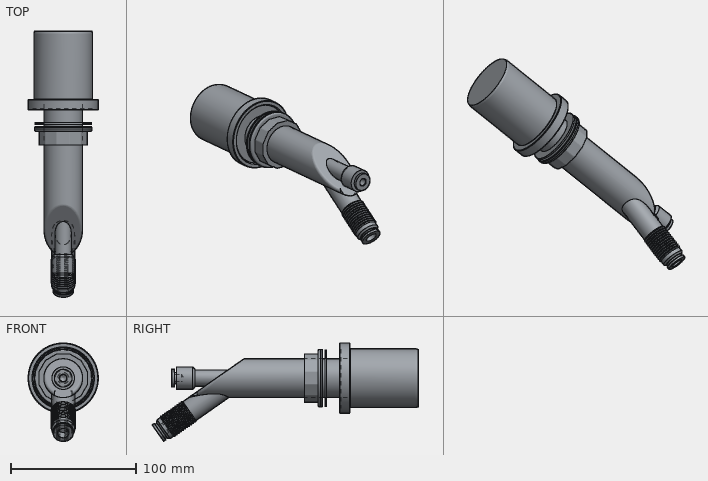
import cadquery as cq
import math


cap_diameter = 47.0
cap_rear_y = 62.92
cap_rear_chamfer_radial = 0.6
cap_rear_chamfer_axial = 2.0
flange_diameter = 56.16
flange_thickness = 8.3
edge_break = 0.5
recess_mouth_diameter = 49.8
recess_floor_diameter = 48.0
recess_depth = 1.0

washer_diameter = 45.0
washer_rear_y = -10.2
washer_thickness = 1.3
seal_diameter = 46.0
seal_rear_y = -13.4
seal_thickness = 1.95
seal_chamfer = 0.6
nut_collar_thickness = 1.95
nut_collar_round = 1.6
nut_across_flats = 38.6
nut_sides = 12
nut_length = 10.8
nut_edge_chamfer = 0.35

tube_diameter = 31.0
tube_radius = tube_diameter / 2
slant_angle = 35.0
slant_top_y = -76.15
slant_round = 2.0
tip_width = 14.0
tip_rear_y = -113.0

outlet_diameter = 13.0
outlet_collar_diameter = 18.0
outlet_collar_rear_y = -115.1
outlet_collar_chamfer = 2.0
outlet_collar_length = 15.1
outlet_neck_diameter = 9.0
outlet_neck_length = 1.5
outlet_lip_diameter = 14.2
outlet_lip_length = 2.2
outlet_bore_diameter = 5.6
outlet_bore_chamfer = 0.4
outlet_bore_depth = 8.0
outlet_bore_point_angle = 118.0

branch_diameter = 18.4
branch_radius = branch_diameter / 2
branch_setback = 0.05
branch_start = 20.0
branch_length = 90.35
branch_taper_end_diameter = 15.6
branch_taper_length = 1.6
branch_neck_diameter = 14.0
branch_neck_length = 1.8
branch_lip_diameter = 16.2
branch_lip_length = 2.1
branch_bore_diameter = 9.0
branch_bore_depth = 7.5
ridge_count = 11
ridge_pitch = 2.0
ridge_diameter = 19.8
last_ridge_to_tip = 9.7

flange_rear_y = flange_thickness
seal_front_y = seal_rear_y - seal_thickness
nut_collar_front_y = seal_front_y - nut_collar_thickness
slant = math.radians(slant_angle)
slant_run = tube_diameter / math.tan(slant)
slant_end_y = slant_top_y - slant_run
slant_direction = cq.Vector(0, -math.cos(slant), -math.sin(slant))
slant_normal = cq.Vector(0, -math.sin(slant), math.cos(slant))
slant_top = cq.Vector(0, slant_top_y, tube_radius)
branch_origin = slant_top - slant_normal * (branch_radius + branch_setback)
branch_plane = cq.Plane(
    origin=branch_origin, xDir=(1, 0, 0), normal=cq.Vector(1, 0, 0).cross(slant_direction)
)


def disc(diameter, start_y, end_y):
    """Cylinder on the Y axis between two Y positions."""
    return cq.Workplane("XZ", origin=(0, start_y, 0)).circle(diameter / 2).extrude(start_y - end_y)


def turned(plane, profile):
    """Solid of revolution about the plane's local Y axis from (radius, axial) points."""
    return cq.Workplane(plane).polyline(profile).close().revolve(360, (0, 0), (0, 1))


def make_cap():
    radius = cap_diameter / 2
    profile = [
        (0, flange_rear_y),
        (radius - edge_break, flange_rear_y),
        (radius, flange_rear_y + edge_break),
        (radius, cap_rear_y - cap_rear_chamfer_axial),
        (radius - cap_rear_chamfer_radial, cap_rear_y),
        (0, cap_rear_y),
    ]
    return turned("XY", profile)


def make_flange():
    ring = disc(flange_diameter, flange_rear_y, 0).faces("<Y or >Y").edges().chamfer(edge_break)
    recess_profile = [
        (0, 0),
        (recess_mouth_diameter / 2, 0),
        (recess_floor_diameter / 2, recess_depth),
        (0, recess_depth),
    ]
    recess = turned("XY", recess_profile)
    tube_hole = disc(tube_diameter, flange_rear_y, 0)
    return ring.cut(recess).cut(tube_hole)


def make_washer():
    washer_front_y = washer_rear_y - washer_thickness
    plate = disc(washer_diameter, washer_rear_y, washer_front_y)
    return plate.cut(disc(tube_diameter, washer_rear_y, washer_front_y))


def make_seal():
    ring = disc(seal_diameter, seal_rear_y, seal_front_y).faces(">Y").edges().chamfer(seal_chamfer)
    return ring.cut(disc(tube_diameter, seal_rear_y, seal_front_y))


def make_nut():
    nut_front_y = nut_collar_front_y - nut_length
    collar = disc(seal_diameter, seal_front_y, nut_collar_front_y)
    collar = collar.faces("<Y").edges().fillet(nut_collar_round)
    grip = (
        cq.Workplane("XZ", origin=(0, nut_collar_front_y, 0))
        .polygon(nut_sides, nut_across_flats, circumscribed=True)
        .extrude(nut_length)
        .edges("|Y")
        .chamfer(nut_edge_chamfer)
    )
    return collar.union(grip).cut(disc(tube_diameter, seal_front_y, nut_front_y))


def make_sharp_tube():
    """Main tube cut off by the slanted plane."""
    removed_size = 2 * (slant_run + tube_diameter)
    removed = (
        cq.Workplane(cq.Plane(origin=slant_top, xDir=(1, 0, 0), normal=slant_normal))
        .rect(removed_size, removed_size)
        .extrude(removed_size)
    )
    return disc(tube_diameter, flange_rear_y, slant_end_y).cut(removed)


def make_rounded_tube():
    """Main tube with the rim of its slanted face rounded."""
    return make_sharp_tube().faces("<Y").edges().fillet(slant_round)


def make_tip():
    """Narrow sharp tip that carries the slanted face on over the angled outlet."""
    tip_zone = (
        cq.Workplane("XZ", origin=(0, tip_rear_y, 0))
        .rect(tip_width, tube_diameter)
        .extrude(tip_rear_y - slant_end_y)
    )
    return make_sharp_tube().intersect(tip_zone)


def make_outlet():
    """Straight outlet with a collar, a neck, an end lip and a bore with a conical end."""
    collar_radius = outlet_collar_diameter / 2
    collar_front_y = outlet_collar_rear_y - outlet_collar_length
    lip_rear_y = collar_front_y - outlet_neck_length
    tip_y = lip_rear_y - outlet_lip_length
    bore_radius = outlet_bore_diameter / 2
    bore_floor_y = tip_y + outlet_bore_depth
    bore_point_length = bore_radius / math.tan(math.radians(outlet_bore_point_angle / 2))
    profile = [
        (0, slant_top_y),
        (outlet_diameter / 2, slant_top_y),
        (outlet_diameter / 2, outlet_collar_rear_y),
        (collar_radius - outlet_collar_chamfer, outlet_collar_rear_y),
        (collar_radius, outlet_collar_rear_y - outlet_collar_chamfer),
        (collar_radius, collar_front_y),
        (outlet_neck_diameter / 2, collar_front_y),
        (outlet_neck_diameter / 2, lip_rear_y),
        (outlet_lip_diameter / 2, lip_rear_y),
        (outlet_lip_diameter / 2, tip_y),
        (bore_radius + outlet_bore_chamfer, tip_y),
        (bore_radius, tip_y + outlet_bore_chamfer),
        (bore_radius, bore_floor_y),
        (0, bore_floor_y + bore_point_length),
    ]
    return turned("XY", profile)


def make_branch():
    """Angled outlet with gripping ridges, a tapered end, a neck, an end lip and a bore."""
    lip_start = branch_length - branch_lip_length
    neck_start = lip_start - branch_neck_length
    taper_start = neck_start - branch_taper_length
    first_ridge = branch_length - last_ridge_to_tip - (ridge_count - 1) * ridge_pitch
    profile = [
        (0, branch_start),
        (branch_radius, branch_start),
        (branch_radius, first_ridge - ridge_pitch / 2),
    ]
    for index in range(ridge_count):
        crest = first_ridge + index * ridge_pitch
        profile += [
            (ridge_diameter / 2, crest),
            (branch_radius, crest + ridge_pitch / 2),
        ]
    profile += [
        (branch_radius, taper_start),
        (branch_taper_end_diameter / 2, neck_start),
        (branch_neck_diameter / 2, neck_start),
        (branch_neck_diameter / 2, lip_start),
        (branch_lip_diameter / 2, lip_start),
        (branch_lip_diameter / 2, branch_length),
        (branch_bore_diameter / 2, branch_length),
        (branch_bore_diameter / 2, branch_length - branch_bore_depth),
        (0, branch_length - branch_bore_depth),
    ]
    return turned(branch_plane, profile)


def make_valve_body():
    return make_rounded_tube().union(make_branch()).union(make_tip()).union(make_outlet())


cap = make_cap()
flange = make_flange()
washer = make_washer()
seal = make_seal()
nut = make_nut()
valve_body = make_valve_body()

result = cq.Compound.makeCompound(
    [cap.val(), flange.val(), washer.val(), seal.val(), nut.val(), valve_body.val()]
)